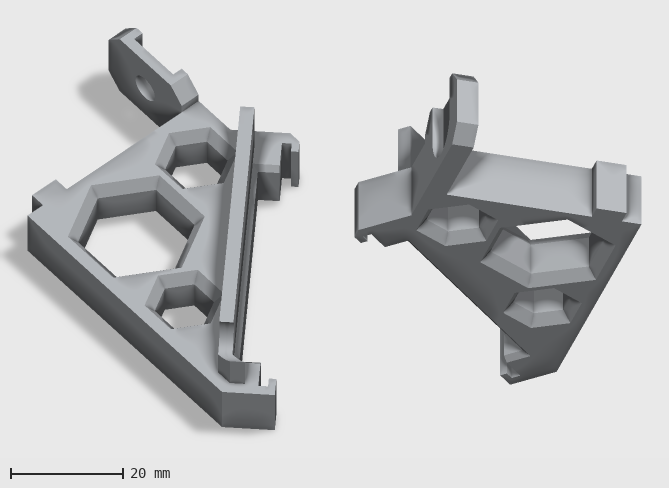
import cadquery as cq
import math


plate_thickness = 10.0
plate_depth = 40.3
edge_margin = 2.4

ear_length = 20.0
ear_thickness = 4.0
ear_height = 14.8
ear_chamfer = 3.0
ear_hole_diameter = 5.3
ear_recess_width = 10.7
ear_recess_depth = 2.0

tab_length = 3.0
tab_width = 5.6
tab_start = 3.65

slope_middle = 7.9
hook_outer_front = 29.8
hook_outer_back = 30.25
slot_half = 27.9
lip_half = 26.1
pocket_half = 22.8
pocket_floor = 39.2
board_seat = 44.05
board_slot = 1.75
lip_thickness = 1.35
lip_top = board_seat + board_slot + lip_thickness
back_limit = 47.88

pocket_bevel_width = 1.0
pocket_bevel_height = 1.0
hex_bevel_width = 1.6
hex_bevel_height = 2.0

hex_openings = [
    (14.57, 13.1, 12.43),
    (9.66, 31.45, 7.52),
    (32.85, 8.7, 7.22),
]

rib_top = 21.0
rib_thickness = 2.55
rib_start_x = 12.5
rib_end_x = 52.66
rib_tail_width = 1.93
notch_radius = 3.5
notch_height = 18.6
notch_to_rib_end = 2.5

OVERCUT = 1.0


def slope_point(along, outward):
    """Plan position of a point given along and outward from the sloping side."""
    return (outward + along) / math.sqrt(2), (outward - along) / math.sqrt(2)


def hook_points(side, hook_outer_half):
    """One hook, from pocket floor to outer flank; side is -1 at the back, +1 at the front."""
    slot_top = board_seat + board_slot
    offsets = [
        (pocket_half, pocket_floor),
        (pocket_half, board_seat),
        (slot_half, board_seat),
        (slot_half, slot_top),
        (lip_half, slot_top),
        (lip_half, lip_top),
        (hook_outer_half, lip_top),
    ]
    return [slope_point(slope_middle + side * half, outward) for half, outward in offsets]


def make_plate():
    front_flank = math.sqrt(2) * (slope_middle + hook_outer_front)
    back_flank = math.sqrt(2) * (slope_middle - hook_outer_back)
    outline = [(0, 0), (front_flank, 0)]
    outline += reversed(hook_points(1, hook_outer_front))
    outline += hook_points(-1, hook_outer_back)
    outline += [(plate_depth + back_flank, plate_depth), (0, plate_depth)]
    plate = cq.Workplane("XY").polyline(outline).close().extrude(plate_thickness)
    limit_length = front_flank + lip_top
    limit = cq.Workplane("XY").box(limit_length, back_limit, plate_thickness, centered=False)
    return plate.intersect(limit)


def frustum(lower, lower_z, upper, upper_z):
    """Tapered solid between two polygons at two heights."""
    return (
        cq.Workplane("XY", origin=(0, 0, lower_z)).polyline(lower).close()
        .workplane(offset=upper_z - lower_z).polyline(upper).close()
        .loft(ruled=True)
    )


def bevelled_opening(rim, waist, bevel_height):
    """Cutter that is wide at both plate faces and narrows to the waist in between."""
    straight = cq.Workplane("XY").polyline(waist).close().extrude(plate_thickness)
    lower = frustum(rim, 0, waist, bevel_height)
    upper = frustum(waist, plate_thickness - bevel_height, rim, plate_thickness)
    return straight.union(lower).union(upper)


def hexagon(centre_x, centre_y, radius):
    corners = [math.radians(60 * i) for i in range(6)]
    return [(centre_x + radius * math.cos(a), centre_y + radius * math.sin(a)) for a in corners]


def hex_cutter(centre_x, centre_y, rim_radius):
    waist_radius = rim_radius - hex_bevel_width / math.cos(math.radians(30))
    rim = hexagon(centre_x, centre_y, rim_radius)
    waist = hexagon(centre_x, centre_y, waist_radius)
    return bevelled_opening(rim, waist, hex_bevel_height)


def pocket_outline(inset, top):
    half = pocket_half - inset
    floor = pocket_floor + inset
    corners = [(-half, floor), (half, floor), (half, top), (-half, top)]
    return [slope_point(slope_middle + along, outward) for along, outward in corners]


def make_pocket_ridge():
    """Ridge along the pocket walls that narrows the pocket at mid thickness."""
    top = board_seat + OVERCUT
    rim = pocket_outline(0, top)
    waist = pocket_outline(pocket_bevel_width, top)
    fill = cq.Workplane("XY").polyline(pocket_outline(0, board_seat)).close().extrude(plate_thickness)
    return fill.cut(bevelled_opening(rim, waist, pocket_bevel_height))


def make_ear():
    c = ear_chamfer
    outline = [
        (0, 0),
        (0, ear_height - c),
        (-c, ear_height),
        (c - ear_length, ear_height),
        (-ear_length, ear_height - c),
        (-ear_length, c),
        (c - ear_length, 0),
    ]
    back_face = cq.Workplane("XZ", origin=(0, plate_depth, 0))
    hole_centre = (-ear_length / 2, ear_height / 2)
    ear = back_face.polyline(outline).close().extrude(ear_thickness)
    hole = back_face.center(*hole_centre).circle(ear_hole_diameter / 2).extrude(ear_thickness)
    recess_radius = ear_recess_width / 2
    recess_round = back_face.center(*hole_centre).circle(recess_radius).extrude(ear_recess_depth)
    mouth_centre = (-ear_length / 2, ear_height)
    mouth = back_face.center(*mouth_centre).rect(ear_recess_width, ear_height).extrude(ear_recess_depth)
    return ear.cut(hole).cut(recess_round).cut(mouth)


def make_tab():
    tab = cq.Workplane("XY").box(tab_length, tab_width, plate_thickness, centered=False)
    return tab.translate((-tab_length, tab_start, 0))


def make_rib():
    outer_sum = math.sqrt(2) * pocket_floor
    inner_sum = outer_sum - math.sqrt(2) * rib_thickness
    start_shift = rib_thickness / math.sqrt(2)
    tail_back = edge_margin + rib_tail_width
    outline = [
        (rib_start_x, inner_sum - rib_start_x),
        (inner_sum - edge_margin, edge_margin),
        (rib_end_x, edge_margin),
        (rib_end_x + rib_tail_width, tail_back),
        (outer_sum - tail_back, tail_back),
        (rib_start_x + start_shift, inner_sum - rib_start_x + start_shift),
    ]
    rib = cq.Workplane("XY").polyline(outline).close().extrude(rib_top)
    for opening in hex_openings:
        rib = rib.cut(hex_cutter(*opening))

    notch_along = (rib_end_x - edge_margin) / math.sqrt(2) - notch_to_rib_end
    notch_x, notch_y = slope_point(notch_along, 0)
    notch_start = cq.Vector(notch_x, notch_y, notch_height)
    across_slope = cq.Vector(1, 1, 0)
    notch = cq.Solid.makeCylinder(notch_radius, lip_top, notch_start, across_slope)
    return rib.cut(cq.Workplane(notch))


plate = make_plate()
for opening in hex_openings:
    plate = plate.cut(hex_cutter(*opening))
plate = plate.union(make_pocket_ridge())

result = plate.union(make_ear()).union(make_tab()).union(make_rib())